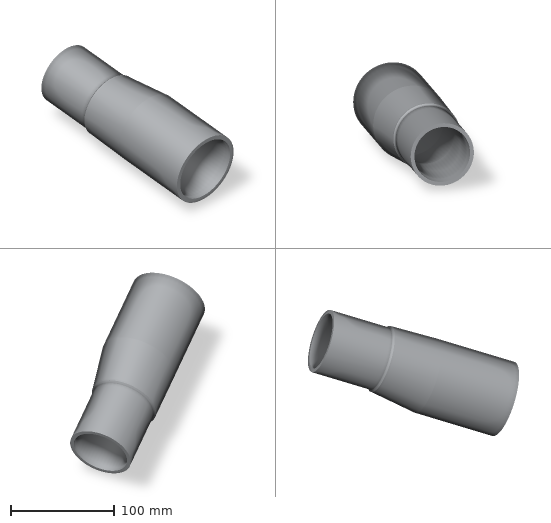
import cadquery as cq


LARGE_DIAMETER = 75.0
LARGE_WALL = 4.5
SMALL_DIAMETER = 63.0
SMALL_WALL = 3.8
COLLAR_HEIGHT = 1.9

TOTAL_LENGTH = 195.0
SMALL_LENGTH = 61.4
COLLAR_LAND = 1.7
LARGE_LENGTH = 82.2

COLLAR_DIAMETER = SMALL_DIAMETER + 2 * COLLAR_HEIGHT
LARGE_BORE = LARGE_DIAMETER - 2 * LARGE_WALL
SMALL_BORE = SMALL_DIAMETER - 2 * SMALL_WALL
SMALL_AXIS_Y = -(LARGE_DIAMETER - COLLAR_DIAMETER) / 2
LARGE_AXIS_Y = 0.0

COLLAR_START = SMALL_LENGTH
LAND_START = COLLAR_START + COLLAR_HEIGHT
TAPER_START = LAND_START + COLLAR_LAND
TAPER_END = TOTAL_LENGTH - LARGE_LENGTH


def section(x_start, diameter_start, axis_y_start, x_end, diameter_end, axis_y_end):
    """Solid joining two circles that lie across the X direction."""
    start_plane = cq.Workplane("YZ", origin=(x_start, axis_y_start, 0))
    start_circle = start_plane.circle(diameter_start / 2)
    shift = axis_y_end - axis_y_start
    end_circle = start_circle.workplane(offset=x_end - x_start).center(shift, 0).circle(diameter_end / 2)
    return end_circle.loft(ruled=True, combine=True)


def cylinder(x_start, x_end, diameter, axis_y):
    """Solid cylinder parallel to X."""
    start_plane = cq.Workplane("YZ", origin=(x_start, axis_y, 0))
    return start_plane.circle(diameter / 2).extrude(x_end - x_start)


def make_outside():
    small_pipe = cylinder(0, COLLAR_START, SMALL_DIAMETER, SMALL_AXIS_Y)
    bevel = section(
        COLLAR_START, SMALL_DIAMETER, SMALL_AXIS_Y,
        LAND_START, COLLAR_DIAMETER, SMALL_AXIS_Y,
    )
    land = cylinder(LAND_START, TAPER_START, COLLAR_DIAMETER, SMALL_AXIS_Y)
    taper = section(
        TAPER_START, COLLAR_DIAMETER, SMALL_AXIS_Y,
        TAPER_END, LARGE_DIAMETER, LARGE_AXIS_Y,
    )
    large_pipe = cylinder(TAPER_END, TOTAL_LENGTH, LARGE_DIAMETER, LARGE_AXIS_Y)
    return small_pipe.union(bevel).union(land).union(taper).union(large_pipe)


def make_bore():
    small_bore = cylinder(0, TAPER_START, SMALL_BORE, SMALL_AXIS_Y)
    taper_bore = section(
        TAPER_START, SMALL_BORE, SMALL_AXIS_Y,
        TAPER_END, LARGE_BORE, LARGE_AXIS_Y,
    )
    large_bore = cylinder(TAPER_END, TOTAL_LENGTH, LARGE_BORE, LARGE_AXIS_Y)
    return small_bore.union(taper_bore).union(large_bore)


result = make_outside().cut(make_bore())